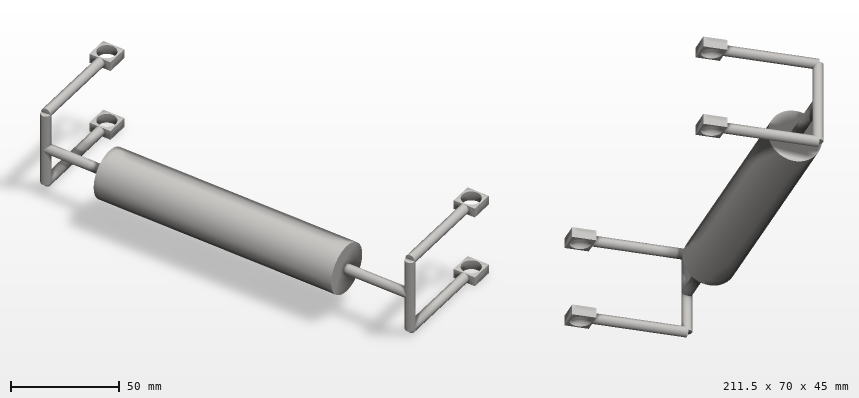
import cadquery as cq

overall_length = 211.5
overall_depth = 70.0
rod_diameter = 5.0
arm_spacing = 40.0
roller_diameter = 26.0
roller_length = 130.3
lug_side = 11.6
lug_hole_diameter = 9.7

frame_x = (overall_length - lug_side) / 2
arm_z = arm_spacing / 2
lug_y = overall_depth - roller_diameter / 2 - lug_side / 2


def rod(start, direction, length, diameter=rod_diameter):
    """Round bar from a start point along a direction."""
    return cq.Workplane(
        cq.Solid.makeCylinder(diameter / 2, length, cq.Vector(*start), cq.Vector(*direction))
    )


roller = rod((-roller_length / 2, 0, 0), (1, 0, 0), roller_length, roller_diameter)
axle = rod((-frame_x, 0, 0), (1, 0, 0), 2 * frame_x)
result = roller.union(axle)

for x in (-frame_x, frame_x):
    upright = rod((x, 0, -arm_z), (0, 0, 1), arm_spacing)
    result = result.union(upright)
    for z in (-arm_z, arm_z):
        arm = rod((x, 0, z), (0, 1, 0), lug_y)
        lug = cq.Workplane().box(lug_side, lug_side, rod_diameter).translate((x, lug_y, z))
        hole = rod((x, lug_y, z - rod_diameter / 2), (0, 0, 1), rod_diameter, lug_hole_diameter)
        result = result.union(arm.union(lug).cut(hole))